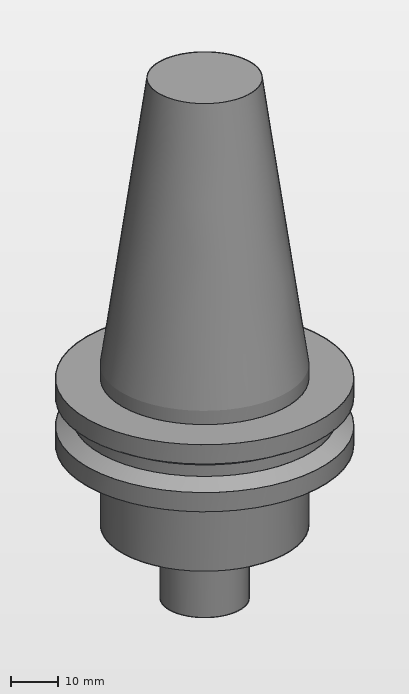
import cadquery as cq

pin_diameter = 19.1
body_diameter = 44.5
flange_diameter = 63.5
groove_diameter = 56.3

total_height = 123.8
pin_length = 17.5
body_length = 19.0
flange_thickness = 16.0
collar_length = 3.2

lower_rim_thickness = 4.6
upper_rim_thickness = 4.6
groove_floor_width = 2.7

taper_rate = 7 / 24

body_bottom = pin_length
flange_bottom = body_bottom + body_length
flange_top = flange_bottom + flange_thickness
taper_bottom = flange_top + collar_length
taper_length = total_height - taper_bottom
tip_diameter = body_diameter - taper_rate * taper_length


def cylinder(diameter, bottom, top):
    """Solid cylinder on the Z axis between two levels."""
    return cq.Workplane("XY").workplane(offset=bottom).circle(diameter / 2).extrude(top - bottom)


def grooved_flange():
    """Flange disc with a symmetric V-groove that has a flat floor."""
    rim_radius = flange_diameter / 2
    floor_radius = groove_diameter / 2
    groove_bottom = flange_bottom + lower_rim_thickness
    groove_top = flange_top - upper_rim_thickness
    groove_middle = (groove_bottom + groove_top) / 2
    groove = (
        cq.Workplane("XZ")
        .moveTo(rim_radius, groove_bottom)
        .lineTo(floor_radius, groove_middle - groove_floor_width / 2)
        .lineTo(floor_radius, groove_middle + groove_floor_width / 2)
        .lineTo(rim_radius, groove_top)
        .close()
        .revolve(360, (0, 0, 0), (0, 1, 0))
    )
    return cylinder(flange_diameter, flange_bottom, flange_top).cut(groove)


def tapered_shank():
    """Cone that narrows from the collar to the flat tip."""
    return (
        cq.Workplane("XY")
        .workplane(offset=taper_bottom)
        .circle(body_diameter / 2)
        .workplane(offset=taper_length)
        .circle(tip_diameter / 2)
        .loft(ruled=True)
    )


pin = cylinder(pin_diameter, 0, body_bottom)
body = cylinder(body_diameter, body_bottom, flange_bottom)
collar = cylinder(body_diameter, flange_top, taper_bottom)

result = pin.union(body).union(grooved_flange()).union(collar).union(tapered_shank())